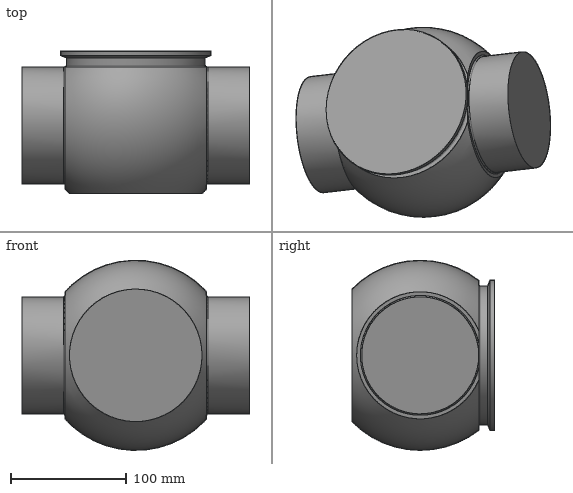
import cadquery as cq
import math

BODY_RADIUS = 82.55
SIDE_FLAT_X = 61.4
FRONT_FLAT_Y = -59.2
BACK_FLAT_Y = 50.9

PIPE_SPAN = 197.61
PIPE_RADIUS = 50.8
ROOT_FILLET = 1.2

TOTAL_DEPTH = 123.7
FLANGE_END_Y = FRONT_FLAT_Y + TOTAL_DEPTH
NECK_RADIUS = 60.3
FLANGE_RADIUS = 65.3
FLANGE_RIM_WIDTH = 3.9
FLANGE_TAPER_ANGLE = 22.0


def fillet_midpoint(shaft_radius):
    """Offset along the shaft and radius at the middle of a concave root fillet."""
    sagitta = ROOT_FILLET * (1 - math.sqrt(0.5))
    return sagitta, shaft_radius + sagitta


def make_ball():
    """Sphere trimmed by the two side flats."""
    diameter = 2 * BODY_RADIUS
    slab = cq.Workplane("XY").box(2 * SIDE_FLAT_X, diameter, diameter)
    return cq.Workplane("XZ").sphere(BODY_RADIUS).intersect(slab)


def make_pipe():
    """Solid pipe on the +X side, flared by the fillet at its root."""
    mid_offset, mid_radius = fillet_midpoint(PIPE_RADIUS)
    return (
        cq.Workplane("XY")
        .moveTo(0, 0)
        .lineTo(0, PIPE_RADIUS)
        .lineTo(SIDE_FLAT_X, PIPE_RADIUS)
        .lineTo(SIDE_FLAT_X, PIPE_RADIUS + ROOT_FILLET)
        .threePointArc(
            (SIDE_FLAT_X + mid_offset, mid_radius),
            (SIDE_FLAT_X + ROOT_FILLET, PIPE_RADIUS),
        )
        .lineTo(PIPE_SPAN / 2, PIPE_RADIUS)
        .lineTo(PIPE_SPAN / 2, 0)
        .close()
        .revolve(360, (0, 0, 0), (1, 0, 0))
    )


def make_depth_slab():
    """Block between the front and back flats, wide enough to hold the pipes."""
    depth = BACK_FLAT_Y - FRONT_FLAT_Y
    centre_y = (BACK_FLAT_Y + FRONT_FLAT_Y) / 2
    return cq.Workplane("XY").box(PIPE_SPAN, depth, 2 * BODY_RADIUS).translate((0, centre_y, 0))


def make_neck():
    """Neck with a filleted root and a clamp flange tapered on its inner face."""
    mid_offset, mid_radius = fillet_midpoint(NECK_RADIUS)
    rim_start = FLANGE_END_Y - FLANGE_RIM_WIDTH
    taper_length = (FLANGE_RADIUS - NECK_RADIUS) * math.tan(math.radians(FLANGE_TAPER_ANGLE))
    return (
        cq.Workplane("XY")
        .moveTo(0, BACK_FLAT_Y)
        .lineTo(NECK_RADIUS + ROOT_FILLET, BACK_FLAT_Y)
        .threePointArc(
            (mid_radius, BACK_FLAT_Y + mid_offset),
            (NECK_RADIUS, BACK_FLAT_Y + ROOT_FILLET),
        )
        .lineTo(NECK_RADIUS, rim_start - taper_length)
        .lineTo(FLANGE_RADIUS, rim_start)
        .lineTo(FLANGE_RADIUS, FLANGE_END_Y)
        .lineTo(0, FLANGE_END_Y)
        .close()
        .revolve(360, (0, 0, 0), (0, 1, 0))
    )


pipe = make_pipe()
body = make_ball().union(pipe).union(pipe.mirror("YZ"))
result = body.intersect(make_depth_slab()).union(make_neck()).solids()